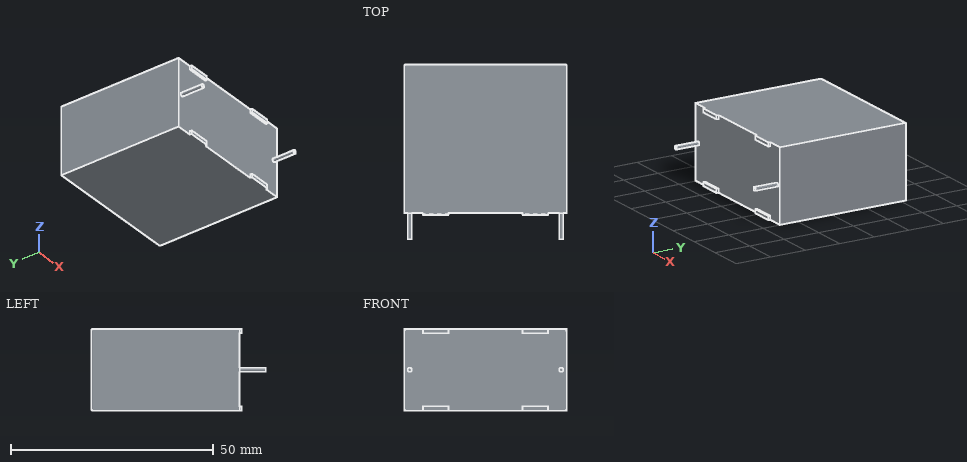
import cadquery as cq

OVERALL_LENGTH = 43.3

LEAD_LENGTH = 6.5
LEAD_DIAMETER = 1.05
LEAD_PITCH = 37.5

HOUSING_WIDTH = 40.3
HOUSING_HEIGHT = 20.3
HOUSING_DEPTH = OVERALL_LENGTH - LEAD_LENGTH
BACK_EDGE_RADIUS = 0.5

FOOT_BASE_WIDTH = 6.5
FOOT_TIP_WIDTH = 6.25
FOOT_HEIGHT = 1.1
FOOT_PROJECTION = 0.5
FOOT_SPACING = 24.7


def make_foot(x, side):
    """Foot with sloping ends, flush with the top (side = 1) or bottom (side = -1) of the housing."""
    z_center = side * (HOUSING_HEIGHT - FOOT_HEIGHT) / 2
    return (
        cq.Workplane("XY")
        .workplane(offset=z_center - FOOT_HEIGHT / 2)
        .polyline([
            (x - FOOT_BASE_WIDTH / 2, 0),
            (x - FOOT_TIP_WIDTH / 2, -FOOT_PROJECTION),
            (x + FOOT_TIP_WIDTH / 2, -FOOT_PROJECTION),
            (x + FOOT_BASE_WIDTH / 2, 0),
        ])
        .close()
        .extrude(FOOT_HEIGHT)
    )


def make_housing():
    """Block with rounded back edges and four stand-off feet on its lead face."""
    housing = (
        cq.Workplane("XY")
        .box(HOUSING_WIDTH, HOUSING_DEPTH, HOUSING_HEIGHT)
        .translate((0, HOUSING_DEPTH / 2, 0))
        .faces(">Y")
        .edges()
        .fillet(BACK_EDGE_RADIUS)
    )
    for x in (-FOOT_SPACING / 2, FOOT_SPACING / 2):
        for side in (-1, 1):
            housing = housing.union(make_foot(x, side))
    return housing


def make_lead(x):
    """Round lead that starts on the lead face and points along -Y."""
    return (
        cq.Workplane("XZ")
        .center(x, 0)
        .circle(LEAD_DIAMETER / 2)
        .extrude(LEAD_LENGTH)
    )


housing = make_housing()
leads = [make_lead(x) for x in (-LEAD_PITCH / 2, LEAD_PITCH / 2)]

result = cq.Compound.makeCompound([housing.val(), *[lead.val() for lead in leads]])